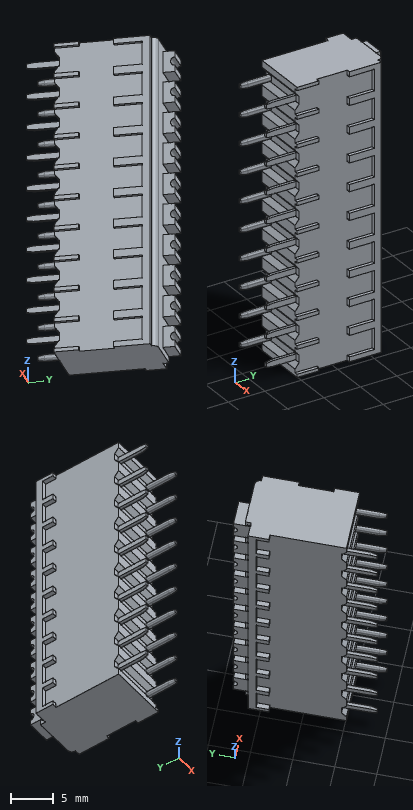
import cadquery as cq

strip_length = 38.5
pole_count = 10
pitch = 3.8
pole_heights = [(i - (pole_count - 1) / 2) * pitch for i in range(pole_count)]
rib_heights = [(i - pole_count / 2) * pitch for i in range(pole_count + 1)]

overall_width = 8.4
left_wall = 0.6
right_wall = 7.93
shoulder_y = 11.55
back_y = 12.25
back_left = 1.8
back_right = 7.7
back_round = 0.65

lip_front_y = 10.6
left_rib_end_y = 9.1
left_rib_width = 0.77
right_rib_end_y = 7.15
right_rib_width = 0.95
foot_rib_back_y = 3.0
foot_rib_width = 0.5

channel_depth = 0.58
channel_mouth = 2.35
channel_floor = 0.95

tab_back_y = 13.65
tab_left = 1.77
tab_right = 4.9
tab_height = 2.6
tab_groove_radius = 0.5

clearance_gap = 0.1
clearance_depth = 0.2
clearance_back_y = 12.0

pin_tip_y = -3.5
pin_taper_length = 0.85
pin_outer_x = 1.27
pin_corner_radius = 0.2
pin_thickness = 0.55
pin_width = 0.77
pin_tip_scale = 0.7
pin_root_depth = 0.4
pin_mirror_x = (left_wall + right_wall) / 2


def block(x0, x1, y0, y1, height, z_middle=0):
    """Box between two X and two Y positions, centred on a height along the strip."""
    return (
        cq.Workplane("XY")
        .box(x1 - x0, y1 - y0, height, centered=(False, False, True))
        .translate((x0, y0, z_middle))
    )


def make_housing():
    core = block(left_wall, right_wall, 0, shoulder_y, strip_length)
    ridge = block(back_left, back_right, shoulder_y, back_y, strip_length)
    ridge = ridge.edges("|Z and >X and >Y").fillet(back_round)
    lips = block(0, overall_width, lip_front_y, shoulder_y, strip_length)
    housing = core.union(ridge).union(lips)
    for z in rib_heights:
        housing = housing.union(block(0, left_wall, left_rib_end_y, lip_front_y, left_rib_width, z))
        housing = housing.union(
            block(right_wall, overall_width, right_rib_end_y, lip_front_y, right_rib_width, z)
        )
        housing = housing.union(block(right_wall, overall_width, 0, foot_rib_back_y, foot_rib_width, z))
    return housing.intersect(block(0, overall_width, 0, back_y, strip_length))


def make_channel(z_middle):
    return (
        cq.Workplane("YZ")
        .polyline([
            (0, -channel_mouth / 2),
            (channel_depth, -channel_floor / 2),
            (channel_depth, channel_floor / 2),
            (0, channel_mouth / 2),
        ])
        .close()
        .extrude(overall_width)
        .translate((0, 0, z_middle))
    )


def make_tab_clearance(z_middle):
    height = tab_height + 2 * clearance_gap
    return block(back_left, back_left + clearance_depth, shoulder_y, clearance_back_y, height, z_middle)


def make_tab(z_middle):
    tab = block(tab_left, tab_right, shoulder_y, tab_back_y, tab_height, z_middle)
    groove = (
        cq.Workplane("YZ", origin=(tab_left, tab_back_y, z_middle))
        .circle(tab_groove_radius)
        .extrude(tab_right - tab_left)
    )
    return tab.cut(groove)


def pin_outline(plane, scale):
    """Pin section on a plane facing -Y, shrunk about the middle of the flat outer face."""
    half = scale * pin_width / 2
    inner = scale * pin_thickness
    radius = scale * pin_corner_radius
    return (
        plane.moveTo(0, -half)
        .lineTo(inner - radius, -half)
        .radiusArc((inner, radius - half), -radius)
        .lineTo(inner, half - radius)
        .radiusArc((inner - radius, half), -radius)
        .lineTo(0, half)
        .close()
    )


def make_pin(z_middle):
    root_y = channel_depth + pin_root_depth
    taper_y = pin_tip_y + pin_taper_length
    root = cq.Workplane("XZ", origin=(pin_outer_x, root_y, z_middle))
    shaft = pin_outline(root, 1).extrude(root_y - taper_y)
    taper = cq.Workplane("XZ", origin=(pin_outer_x, taper_y, z_middle))
    taper = pin_outline(taper, 1).workplane(offset=pin_taper_length)
    tip = pin_outline(taper, pin_tip_scale).loft(ruled=True)
    return shaft.union(tip)


result = make_housing()
for z in pole_heights:
    pin = make_pin(z)
    opposite_pin = pin.mirror("YZ", (pin_mirror_x, 0, 0))
    result = result.cut(make_channel(z)).cut(make_tab_clearance(z))
    result = result.union(make_tab(z)).union(pin).union(opposite_pin)